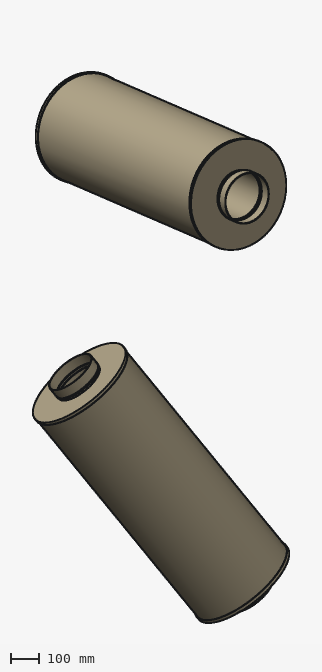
import cadquery as cq

total_length = 1082.0
body_diameter = 395.0
band_diameter = 400.0
collar_diameter = 185.0
neck_diameter = 180.0
main_bore_diameter = 180.0
lip_bore_diameter = 175.0

collar_length = 43.0
neck_length = 9.0
band_width = 13.0
lip_depth = 40.0
lip_width = 13.0

body_length = total_length - 2 * (collar_length + neck_length)
neck_to_neck_length = total_length - 2 * collar_length
core_bore_length = total_length - 2 * (lip_depth + lip_width)


def cylinder(diameter, length):
    """Cylinder along X, symmetric about the YZ plane."""
    return cq.Workplane("YZ", origin=(-length / 2, 0, 0)).circle(diameter / 2).extrude(length)


def end_cylinders(diameter, span, length):
    """Matching cylinders along X at the two ends of a centred span."""
    offset = (span - length) / 2
    disc = cylinder(diameter, length)
    return disc.translate((-offset, 0, 0)).union(disc.translate((offset, 0, 0)))


drum = cylinder(body_diameter, body_length)
drum = drum.union(end_cylinders(band_diameter, body_length, band_width))

necks = cylinder(neck_diameter, neck_to_neck_length)
collars = end_cylinders(collar_diameter, total_length, collar_length)

bore = cylinder(lip_bore_diameter, total_length)
bore = bore.union(cylinder(main_bore_diameter, core_bore_length))
bore = bore.union(end_cylinders(main_bore_diameter, total_length, lip_depth))

result = drum.union(necks).union(collars).cut(bore)